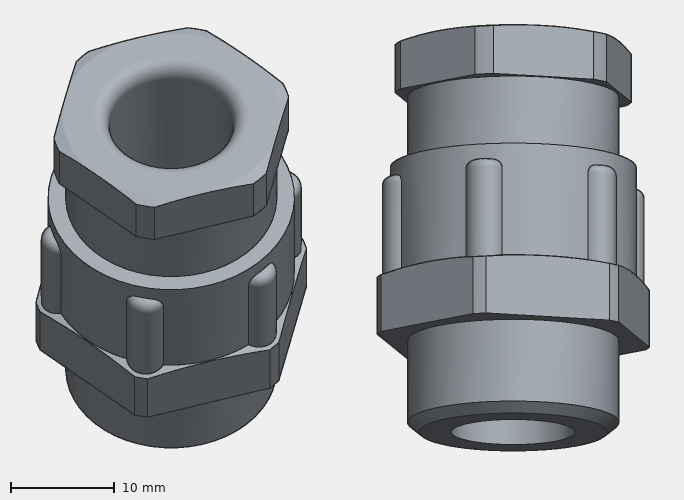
import cadquery as cq
import math

total_height = 38.0
lead_in_height = 0.95
lower_hex_bottom = 9.0
lower_hex_top = 15.0
collar_top = 26.03
rib_top = 24.5
upper_hex_bottom = 33.0

stem_diameter = 20.4
collar_diameter = 23.8
lower_hex_flats = 24.0
lower_hex_corners = 27.0
upper_hex_flats = 21.0
upper_hex_corners = 23.3
bore_diameter = 12.0
mouth_radius = 1.52
lead_in_width = 1.15
chamfer_angle = 15.0

corner_count = 6
rib_radius = 1.9
rib_reach = 13.07
rib_dome_radius = 0.9


def cylinder(diameter, bottom, top):
    return cq.Workplane("XY").workplane(offset=bottom).circle(diameter / 2).extrude(top - bottom)


def hexagon(flats, corners, bottom, top):
    """Hexagon with corners on Y, turned to a corner diameter and chamfered on top."""
    prism = (
        cq.Workplane("XY")
        .workplane(offset=bottom)
        .polygon(corner_count, flats, circumscribed=True)
        .extrude(top - bottom)
    )
    chamfer_width = (corners - flats) / 2
    chamfer_height = chamfer_width * math.tan(math.radians(chamfer_angle))
    turned = cylinder(corners, bottom, top).faces(">Z").chamfer(chamfer_height, chamfer_width)
    return prism.intersect(turned)


def rib(angle):
    """Round-topped upright rib standing partly out of the collar."""
    return (
        cylinder(2 * rib_radius, lower_hex_bottom, rib_top)
        .faces(">Z")
        .edges()
        .fillet(rib_dome_radius)
        .translate((rib_reach - rib_radius, 0, 0))
        .rotate((0, 0, 0), (0, 0, 1), angle)
    )


body = (
    cylinder(stem_diameter, 0, upper_hex_bottom)
    .faces("<Z")
    .chamfer(lead_in_height, lead_in_width)
)

body = body.union(cylinder(collar_diameter, lower_hex_bottom, collar_top))
body = body.union(hexagon(lower_hex_flats, lower_hex_corners, lower_hex_bottom, lower_hex_top))
body = body.union(hexagon(upper_hex_flats, upper_hex_corners, upper_hex_bottom, total_height))

for index in range(corner_count):
    body = body.union(rib(90 + index * 360 / corner_count))

bore = cylinder(bore_diameter, 0, total_height)
body = body.cut(bore)
result = body.faces(">Z").edges(cq.selectors.RadiusNthSelector(0)).fillet(mouth_radius)